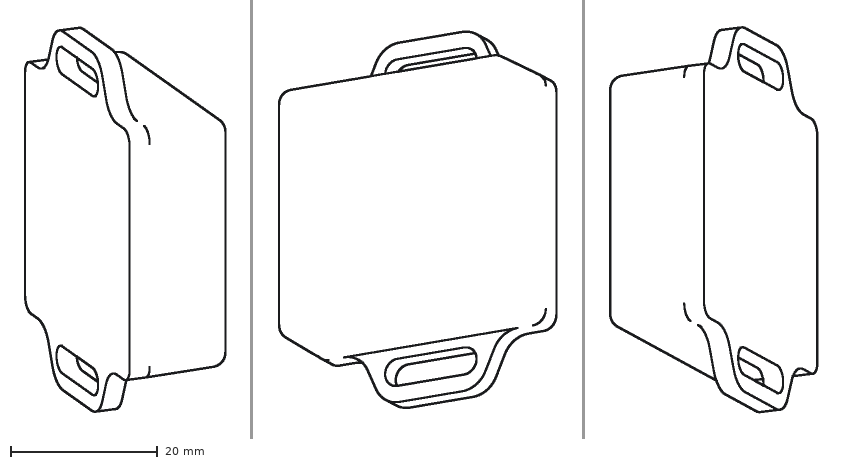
import cadquery as cq
import math

body_side = 36.0
total_height = 51.4
total_depth = 15.0
plate_thickness = 3.0
edge_radius = 2.0
draft_angle = 1.0

tab_tip_width = 15.0
tab_root_width = 22.0
tab_radius = 4.0
slot_length = 14.3
slot_width = 3.85
slot_wall = 2.35

half_body = body_side / 2
half_height = total_height / 2
half_tip = tab_tip_width / 2
half_root = tab_root_width / 2
housing_depth = total_depth - plate_thickness
front_y = -total_depth / 2
plate_back_y = front_y + plate_thickness
slot_z = half_height - slot_wall - slot_width / 2


def workplane_at(y):
    """XZ plane at the given Y; its normal points towards -Y."""
    return cq.Workplane("XZ", origin=(0, y, 0))


def make_plate():
    """Square plate with a tapered, rounded tab at each Z end."""
    plate = workplane_at(front_y).rect(body_side, body_side).extrude(-plate_thickness)
    plate = plate.edges("|Y").fillet(edge_radius)
    tabs = workplane_at(front_y).polyline([
        (-half_tip, half_height),
        (half_tip, half_height),
        (half_root, half_body),
        (half_root, -half_body),
        (half_tip, -half_height),
        (-half_tip, -half_height),
        (-half_root, -half_body),
        (-half_root, half_body),
    ]).close().extrude(-plate_thickness)
    plate = plate.union(tabs)
    for x in (-1, 1):
        for z in (-1, 1):
            for corner in ((x * half_tip, z * half_height), (x * half_root, z * half_body)):
                point = (corner[0], front_y + plate_thickness / 2, corner[1])
                nearest = cq.selectors.NearestToPointSelector(point)
                plate = plate.edges("|Y").edges(nearest).fillet(tab_radius)
    return plate


def make_housing():
    """Drafted box behind the plate, rounded on its side and back edges."""
    back_side = body_side - 2 * housing_depth * math.tan(math.radians(draft_angle))
    housing = (
        workplane_at(plate_back_y)
        .rect(body_side, body_side)
        .workplane(offset=-housing_depth)
        .rect(back_side, back_side)
        .loft(ruled=True)
    )
    return housing.edges("not(<Y)").fillet(edge_radius)


def make_slots():
    """Strap slots through both tabs."""
    return (
        workplane_at(front_y)
        .pushPoints([(0, slot_z), (0, -slot_z)])
        .slot2D(slot_length, slot_width)
        .extrude(-plate_thickness)
    )


result = make_plate().union(make_housing()).cut(make_slots())